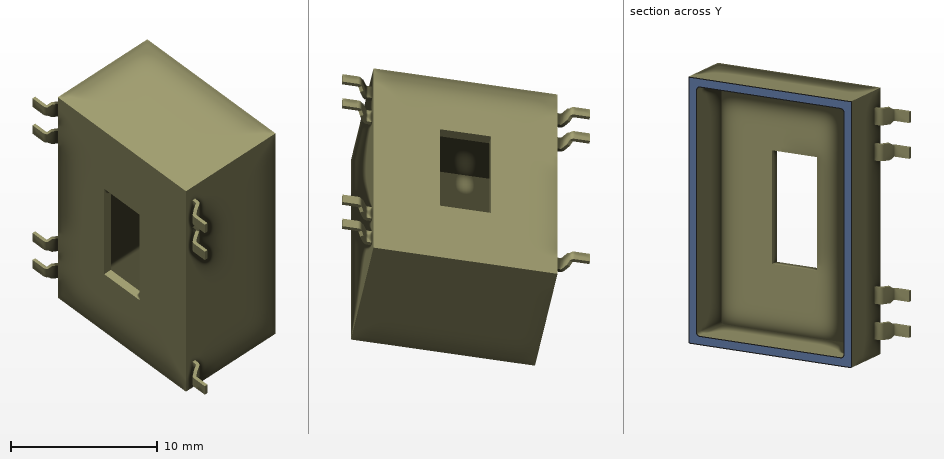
import cadquery as cq
import math

case_width = 12.8
case_height = 18.9
case_depth = 8.4
base_depth = 1.4
wall = 0.62
cavity_corner_radius = 0.25
window_width = 3.53
window_height = 8.05

lead_span = 17.2
lead_thickness = 0.25
lower_bend_inner_radius = 0.1
upper_bend_inner_radius = 0.15
bend_angle = 58.0
foot_length = 1.08
foot_projection = 0.3
lead_rise = 0.9
root_width = 1.2
foot_width = 0.8
taper_length = 0.28
outer_row = 7.62
lead_pitch = outer_row / 3
inner_row = outer_row - lead_pitch

LEFT = -1
RIGHT = 1
lead_places = [
    (LEFT, outer_row), (LEFT, inner_row), (LEFT, -inner_row), (LEFT, -outer_row),
    (RIGHT, outer_row), (RIGHT, inner_row), (RIGHT, -outer_row),
]


def block(width, height, y_start, y_end):
    """Box centred on X = Z = 0 that spans y_start to y_end."""
    return (
        cq.Workplane("XZ", origin=(0, y_start, 0))
        .rect(width, height)
        .extrude(y_start - y_end)
    )


def cavity(y_start, y_end):
    """Hollow inside the case walls, with its long corners rounded."""
    hollow = block(case_width - 2 * wall, case_height - 2 * wall, y_start, y_end)
    return hollow.edges("|Y").fillet(cavity_corner_radius)


def make_base():
    """Shallow tray whose floor is the front face with the window."""
    window = block(window_width, window_height, 0, wall)
    return block(case_width, case_height, 0, base_depth).cut(cavity(wall, base_depth)).cut(window)


def make_housing():
    """Box open towards the base."""
    shell = block(case_width, case_height, base_depth, case_depth)
    return shell.cut(cavity(base_depth, case_depth - wall))


def make_lead():
    """Left-hand lead at Z = 0, from the tip of its foot to the case wall."""
    cosine = math.cos(math.radians(bend_angle))
    sine = math.sin(math.radians(bend_angle))
    lower_radius = lower_bend_inner_radius + lead_thickness / 2
    upper_radius = upper_bend_inner_radius + lead_thickness / 2

    tip_x = -lead_span / 2
    foot_y = lead_thickness / 2 - foot_projection
    root_y = foot_y + lead_rise
    lower_rise = lower_radius * (1 - cosine)
    upper_rise = upper_radius * (1 - cosine)
    web_rise = lead_rise - lower_rise - upper_rise
    web_run = web_rise * cosine / sine
    lower_bend_x = tip_x + foot_length
    web_start = (lower_bend_x + lower_radius * sine, foot_y + lower_rise)
    web_end = (web_start[0] + web_run, web_start[1] + web_rise)
    upper_bend_x = web_end[0] + upper_radius * sine

    centre_line = (
        cq.Workplane("XY")
        .moveTo(tip_x, foot_y)
        .lineTo(lower_bend_x, foot_y)
        .tangentArcPoint(web_start, relative=False)
        .lineTo(*web_end)
        .tangentArcPoint((upper_bend_x, root_y), relative=False)
        .lineTo(-case_width / 2, root_y)
    )
    strip = (
        cq.Workplane("YZ", origin=(tip_x, foot_y, 0))
        .rect(lead_thickness, root_width)
        .sweep(centre_line)
    )

    reach = lead_span / 2
    web_plane = cq.Plane(
        origin=(*web_start, 0), xDir=(cosine, sine, 0), normal=(sine, -cosine, 0)
    )
    outline = (
        cq.Workplane(web_plane)
        .moveTo(-reach, -foot_width / 2)
        .lineTo(0, -foot_width / 2)
        .lineTo(taper_length, -root_width / 2)
        .lineTo(reach, -root_width / 2)
        .lineTo(reach, root_width / 2)
        .lineTo(taper_length, root_width / 2)
        .lineTo(0, foot_width / 2)
        .lineTo(-reach, foot_width / 2)
        .close()
        .extrude(reach, both=True)
    )
    return strip.intersect(outline)


base = make_base()
housing = make_housing()

left_lead = make_lead()
right_lead = left_lead.mirror("YZ")
leads = []
for side, row_z in lead_places:
    lead = left_lead if side == LEFT else right_lead
    leads.append(lead.translate((0, 0, row_z)).val())

result = cq.Compound.makeCompound([base.val(), housing.val(), *leads])